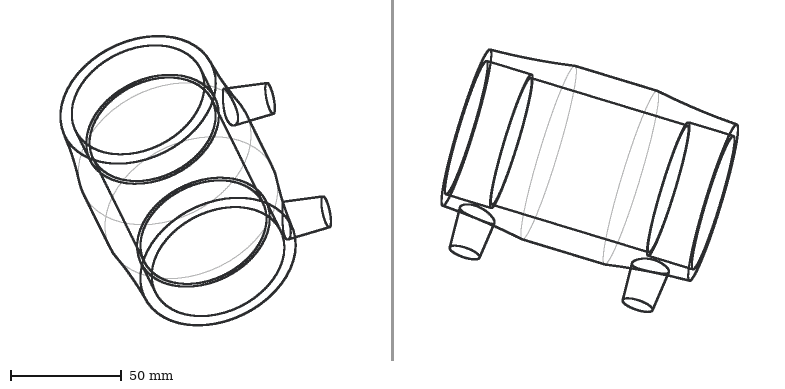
import cadquery as cq
import math

length = 117.0
middle_diameter = 82.0
end_diameter = 0.9 * middle_diameter
middle_length = length / 3
flare_radius = 300.0

socket_diameter = 63.0
inner_bore_diameter = 59.85
socket_depth = 21.3

post_offset = middle_diameter / 2
post_tip_y = 57.0
post_tip_diameter = 14.3
post_taper = 4.3
post_root_y = 34.0


def sleeve_body():
    """Solid sleeve: a straight middle between two hollow-curved tapers."""
    half_length = length / 2
    half_middle = middle_length / 2
    end_radius = end_diameter / 2
    middle_radius = middle_diameter / 2
    profile = (
        cq.Workplane("XY")
        .moveTo(-half_length, 0)
        .lineTo(-half_length, end_radius)
        .radiusArc((-half_middle, middle_radius), -flare_radius)
        .lineTo(half_middle, middle_radius)
        .radiusArc((half_length, end_radius), -flare_radius)
        .lineTo(half_length, 0)
        .close()
    )
    return profile.revolve(360, (0, 0, 0), (1, 0, 0))


def post(x):
    """Round post tapering towards its tip, pointing along +Y at the given x."""
    height = post_tip_y - post_root_y
    tip_radius = post_tip_diameter / 2
    root_radius = tip_radius + height * math.tan(math.radians(post_taper))
    root = cq.Vector(x, post_root_y, 0)
    return cq.Workplane(cq.Solid.makeCone(root_radius, tip_radius, height, root, cq.Vector(0, 1, 0)))


def bore_cutter():
    """Through bore with a wider socket at each end."""
    cutter = cq.Workplane("YZ").circle(inner_bore_diameter / 2).extrude(length / 2, both=True)
    for side in (-1, 1):
        end_plane = cq.Workplane("YZ", origin=(side * length / 2, 0, 0))
        cutter = cutter.union(end_plane.circle(socket_diameter / 2).extrude(-side * socket_depth))
    return cutter


result = sleeve_body()
for side in (-1, 1):
    result = result.union(post(side * post_offset))
result = result.cut(bore_cutter())